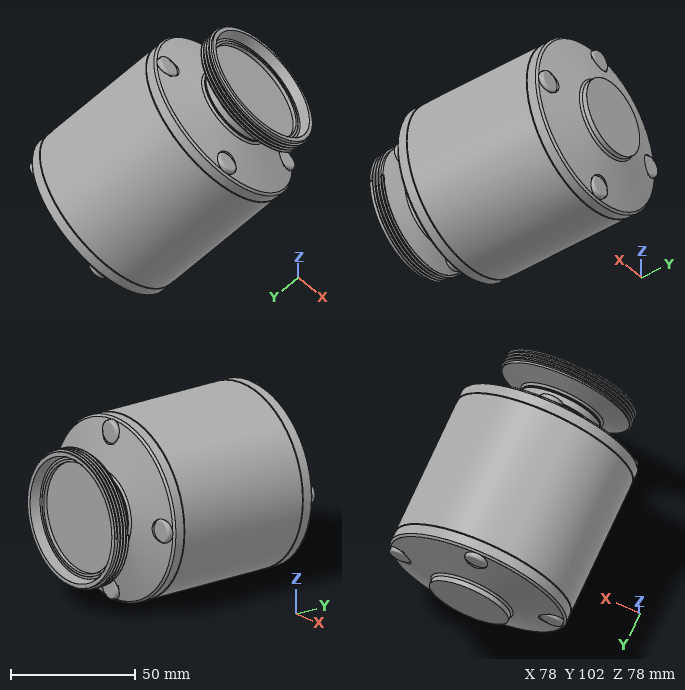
import cadquery as cq

length = 102.0

body_diameter = 78.0
body_radius = body_diameter / 2
body_front = 21.9
body_rear = 93.5
body_middle = (body_front + body_rear) / 2
rim_chamfer = 0.9
neck_radius = 17.4
shoulder_height = 5.3
root_radius = 18.2
root_height = 1.0

body_joint_offset = 30.5
body_joint_width = 0.4
neck_joints = (11.6, 15.2)
neck_joint_width = 0.7
joint_depth = 0.2

flange_length = 6.7
flange_radius = 28.2
flare_end = 10.1
thread_radius = 29.0
thread_length = 6.0
thread_turns = 4
thread_pitch = thread_length / thread_turns
thread_start = 0.6
thread_crest = 0.2
thread_root = 1.1
thread_overlap = 0.2

mouth_radius = 26.3
mouth_floor_radius = 25.2
mouth_depth = 4.3
ledge_radius = 24.2
ledge_depth = 4.5
recess_radius = 23.2
recess_depth = 6.1

foot_count = 4
foot_circle_radius = 33.2
foot_radius = 5.0
foot_rise = 2.2
foot_sink = 4.1
foot_fillet = 1.0


def revolve_about_axis(points):
    """Turn a closed (radius, y) outline about the Y axis."""
    return cq.Workplane("XY").polyline(points).close().revolve(360, (0, 0, 0), (0, 1, 0))


def make_body():
    front_root = body_front - shoulder_height
    rear_root = body_rear + shoulder_height
    rim_radius = body_radius - rim_chamfer
    return revolve_about_axis([
        (0, recess_depth),
        (recess_radius, recess_depth),
        (recess_radius, ledge_depth),
        (ledge_radius, ledge_depth),
        (ledge_radius, mouth_depth),
        (mouth_floor_radius, mouth_depth),
        (mouth_radius, 0),
        (flange_radius, 0),
        (flange_radius, flange_length),
        (root_radius, flare_end),
        (neck_radius, flare_end + root_height),
        (neck_radius, front_root - root_height),
        (root_radius, front_root),
        (rim_radius, body_front),
        (body_radius, body_front + rim_chamfer),
        (body_radius, body_rear - rim_chamfer),
        (rim_radius, body_rear),
        (root_radius, rear_root),
        (neck_radius, rear_root + root_height),
        (neck_radius, length),
        (0, length),
    ])


def make_joint(radius, y, width):
    """Ring cutter that leaves a V groove in a cylinder of the given radius."""
    return revolve_about_axis([
        (radius - joint_depth, y),
        (radius, y - width / 2),
        (radius + joint_depth, y - width / 2),
        (radius + joint_depth, y + width / 2),
        (radius, y + width / 2),
    ])


def make_thread():
    """Left-hand ridge, swept along Z and then laid along Y."""
    helix = cq.Wire.makeHelix(thread_pitch, thread_length, flange_radius, lefthand=True)
    inner_radius = flange_radius - thread_overlap
    ridge = (
        cq.Workplane("XZ")
        .polyline([
            (inner_radius, -thread_root / 2),
            (thread_radius, -thread_crest / 2),
            (thread_radius, thread_crest / 2),
            (inner_radius, thread_root / 2),
        ])
        .close()
        .sweep(cq.Workplane(helix), isFrenet=True)
    )
    return ridge.rotate((0, 0, 0), (1, 0, 0), -90).translate((0, thread_start, 0))


def make_foot_cylinders(rim_y, outward, rise):
    """Ring of cylinders through one shoulder; outward is -1 for the front and +1 for the rear."""
    return (
        cq.Workplane("XZ", origin=(0, rim_y - outward * foot_sink, 0))
        .polarArray(foot_circle_radius, 0, 360, foot_count)
        .circle(foot_radius)
        .extrude(-outward * (foot_sink + rise))
    )


def add_feet(body, rim_y, outward):
    """Seat a ring of round-edged feet in pockets cut into one shoulder."""
    pockets = make_foot_cylinders(rim_y, outward, shoulder_height)
    feet = make_foot_cylinders(rim_y, outward, foot_rise)
    outer_face = ">Y" if outward > 0 else "<Y"
    feet = feet.faces(outer_face).edges().fillet(foot_fillet)
    return body.cut(pockets).union(feet)


result = make_body()
for side in (-1, 1):
    result = result.cut(make_joint(body_radius, body_middle + side * body_joint_offset, body_joint_width))
for joint_y in neck_joints:
    result = result.cut(make_joint(neck_radius, joint_y, neck_joint_width))
result = add_feet(result, body_front, -1)
result = add_feet(result, body_rear, 1)
result = result.union(make_thread())